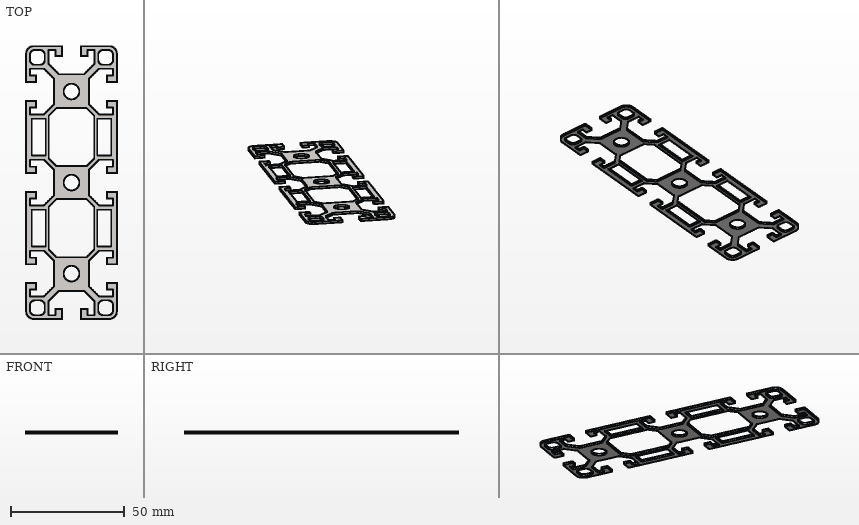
import cadquery as cq

cell = 40.0
cell_count = 3
thickness = 1.0
width = cell
length = cell * cell_count
corner_radius = 3.5

slot_mouth = 8.2
slot_cavity = 20.0
lip_gap = 14.1
skin = 1.8
lip_depth = 4.5
slot_floor = 7.7
floor_half = 5.6

bore_diameter = 6.8

corner_hollow = 6.4
corner_hollow_radius = 2.0
corner_hollow_wall = 1.8

web_hollow_width = 19.9
web_hollow_length = 25.4
web_hollow_chamfer = 3.3
side_hollow_width = 6.0
side_hollow_length = 16.0
side_hollow_wall = 2.6

half_cell = cell / 2
cell_centers = [(index - (cell_count - 1) / 2) * cell for index in range(cell_count)]
joint_centers = [(low + high) / 2 for low, high in zip(cell_centers, cell_centers[1:])]


def slot_cutter(center_y, angle):
    """T-slot opening toward +X, turned by angle about the axis of its cell."""
    shoulder = slot_floor + slot_cavity / 2 - floor_half
    half_outline = [
        (slot_floor, floor_half),
        (shoulder, slot_cavity / 2),
        (half_cell - skin, slot_cavity / 2),
        (half_cell - skin, lip_gap / 2),
        (half_cell - lip_depth, lip_gap / 2),
        (half_cell - lip_depth, slot_mouth / 2),
        (half_cell, slot_mouth / 2),
    ]
    mirrored = [(x, -y) for x, y in reversed(half_outline)]
    cutter = cq.Workplane("XY").polyline(half_outline + mirrored).close().extrude(thickness)
    return cutter.rotate((0, 0, 0), (0, 0, 1), angle).translate((0, center_y, 0))


def box_cutter(size_x, size_y, points):
    """Rectangular through-hollows centred on the given points."""
    return cq.Workplane("XY").pushPoints(points).rect(size_x, size_y).extrude(thickness)


def make_blank():
    blank = cq.Workplane("XY").rect(width, length).extrude(thickness)
    return blank.edges("|Z").fillet(corner_radius)


def cut_slots(body):
    for center_y in cell_centers:
        for angle in (0, 180):
            body = body.cut(slot_cutter(center_y, angle))
    body = body.cut(slot_cutter(cell_centers[-1], 90))
    return body.cut(slot_cutter(cell_centers[0], -90))


def cut_bores(body):
    centers = [(0, y) for y in cell_centers]
    bores = cq.Workplane("XY").pushPoints(centers).circle(bore_diameter / 2).extrude(thickness)
    return body.cut(bores)


def cut_corner_hollows(body):
    inset = corner_hollow_wall + corner_hollow / 2
    x = width / 2 - inset
    y = length / 2 - inset
    points = [(side * x, end * y) for side in (-1, 1) for end in (-1, 1)]
    hollows = box_cutter(corner_hollow, corner_hollow, points)
    return body.cut(hollows.edges("|Z").fillet(corner_hollow_radius))


def cut_joint_hollows(body):
    webs = box_cutter(web_hollow_width, web_hollow_length, [(0, y) for y in joint_centers])
    body = body.cut(webs.edges("|Z").chamfer(web_hollow_chamfer))
    side_x = width / 2 - side_hollow_wall - side_hollow_width / 2
    points = [(side * side_x, y) for side in (-1, 1) for y in joint_centers]
    return body.cut(box_cutter(side_hollow_width, side_hollow_length, points))


result = cut_joint_hollows(cut_corner_hollows(cut_bores(cut_slots(make_blank()))))